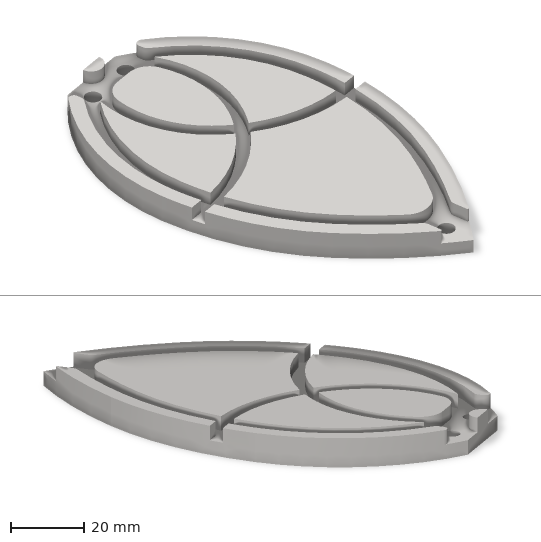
import cadquery as cq
import math

length = 129.3
thickness = 8.4
floor_height = thickness / 2
relief_height = thickness - floor_height

half_width = 38.3
apex_x = 51.7
blunt_arc_radius = 62.7
middle_arc_radius = 91.2
shoulder_x = 99.6

rim_width = 4.3
channel_width = 4.1
panel_inset = 2 * rim_width

tight_center_x = 24.0
tight_center_y = 22.2
tight_radius = 34.8
flat_center_x = 16.8
flat_center_y = 32.0
flat_radius = tight_radius + math.hypot(tight_center_x - flat_center_x, tight_center_y - flat_center_y)
vein_gap_x = 63.5
rim_gap_width = 4.0

blunt_opening_half_width = 14.4
tip_opening_half_width = 6.0
rim_end_radius = 2.6
blunt_end_tip_radius = 1.5
tip_end_tip_radius = 0.4

nose_radius = 7.8
heart_back_x = 10.9
heart_radius = 7.0

hole_diameter = 5.0
blunt_hole_x = 6.2
blunt_hole_y = 7.6
tip_hole_x = 120.2
boss_radius = 3.8


def circle_height(x, center_x, center_y, radius):
    """Y of the upper half of a circle at the given X."""
    return center_y + math.sqrt(radius**2 - (x - center_x) ** 2)


def leaf(inset, base, height):
    """Solid leaf whose curved sides are moved inwards by the inset."""
    blunt_center_y = half_width - blunt_arc_radius
    middle_center_y = half_width - middle_arc_radius
    normal_x = (shoulder_x - apex_x) / middle_arc_radius
    normal_y = math.sqrt(1 - normal_x**2)
    shoulder_y = middle_center_y + middle_arc_radius * normal_y
    to_tip_x = length - shoulder_x
    to_tip_y = -shoulder_y
    tip_arc_radius = -(to_tip_x**2 + to_tip_y**2) / (2 * (normal_x * to_tip_x + normal_y * to_tip_y))
    tip_center_x = shoulder_x - tip_arc_radius * normal_x
    tip_center_y = shoulder_y - tip_arc_radius * normal_y

    blunt_radius = blunt_arc_radius - inset
    tip_radius = tip_arc_radius - inset
    start = (inset, circle_height(inset, apex_x, blunt_center_y, blunt_radius))
    apex = (apex_x, half_width - inset)
    shoulder = (shoulder_x - inset * normal_x, shoulder_y - inset * normal_y)
    tip = (tip_center_x + math.sqrt(tip_radius**2 - tip_center_y**2), 0)

    blunt_mid_x = (start[0] + apex_x) / 2
    middle_mid_x = (apex_x + shoulder[0]) / 2
    tip_mid_x = (shoulder[0] + tip[0]) / 2
    blunt_mid = (blunt_mid_x, circle_height(blunt_mid_x, apex_x, blunt_center_y, blunt_radius))
    middle_mid = (
        middle_mid_x,
        circle_height(middle_mid_x, apex_x, middle_center_y, middle_arc_radius - inset),
    )
    tip_mid = (tip_mid_x, circle_height(tip_mid_x, tip_center_x, tip_center_y, tip_radius))

    def mirrored(point):
        return (point[0], -point[1])

    return (
        cq.Workplane("XY").workplane(offset=base)
        .moveTo(*mirrored(start))
        .lineTo(*start)
        .threePointArc(blunt_mid, apex)
        .threePointArc(middle_mid, shoulder)
        .threePointArc(tip_mid, tip)
        .threePointArc(mirrored(tip_mid), mirrored(shoulder))
        .threePointArc(mirrored(middle_mid), mirrored(apex))
        .threePointArc(mirrored(blunt_mid), mirrored(start))
        .close()
        .extrude(height)
    )


def relief_box(x_start, x_end, half_span):
    """Block of the relief layer, centred on Y = 0."""
    return (
        cq.Workplane("XY").workplane(offset=floor_height)
        .moveTo((x_start + x_end) / 2, 0)
        .rect(x_end - x_start, 2 * half_span)
        .extrude(relief_height)
    )


def vein_region(offset):
    """Relief layer on the lower, concave side of one vein, its edge moved outwards by the offset."""
    tight = tight_radius + offset
    flat = flat_radius + offset
    center_step = flat_radius - tight_radius
    join_x = flat_center_x + flat * (tight_center_x - flat_center_x) / center_step
    join_y = -flat_center_y + flat * (flat_center_y - tight_center_y) / center_step
    left_x = tight_center_x - tight
    right_x = flat_center_x + flat
    flat_mid_x = (join_x + right_x) / 2
    flat_mid_y = circle_height(flat_mid_x, flat_center_x, -flat_center_y, flat)
    return (
        cq.Workplane("XY").workplane(offset=floor_height)
        .moveTo(left_x, -tight_center_y)
        .threePointArc((tight_center_x, tight - tight_center_y), (join_x, join_y))
        .threePointArc((flat_mid_x, flat_mid_y), (right_x, -flat_center_y))
        .lineTo(right_x, -half_width)
        .lineTo(left_x, -half_width)
        .close()
        .extrude(relief_height)
    )


def edges_between(x_start, x_end):
    """Selector for relief edges centred in a span of X."""
    return cq.selectors.BoxSelector((x_start, -length, floor_height), (x_end, length, thickness))


def make_rim():
    rim = leaf(0, floor_height, relief_height).cut(leaf(rim_width, floor_height, relief_height))
    rim = rim.cut(relief_box(0, apex_x, blunt_opening_half_width))
    rim = rim.cut(relief_box(apex_x, length, tip_opening_half_width))
    rim = rim.edges("|Z").edges(edges_between(blunt_hole_x, apex_x / 2)).fillet(rim_end_radius)
    rim = rim.edges("|Z").edges("<X").fillet(blunt_end_tip_radius)
    rim = rim.edges("|Z").edges(edges_between(shoulder_x + rim_width, tip_hole_x)).fillet(rim_end_radius)
    rim = rim.edges("|Z").edges(">X").fillet(tip_end_tip_radius)
    gap_start = vein_gap_x - rim_gap_width / 2
    return rim.cut(relief_box(gap_start, gap_start + rim_gap_width, length))


def make_panels():
    field = leaf(panel_inset, floor_height, relief_height)
    wide_below = vein_region(channel_width / 2)
    wide_above = wide_below.mirror("XZ")
    narrow_below = vein_region(-channel_width / 2)
    narrow_above = narrow_below.mirror("XZ")

    nose = field.cut(wide_below).cut(wide_above)
    nose = nose.intersect(relief_box(apex_x, length, half_width))
    nose = nose.edges("|Z and >X").fillet(nose_radius)

    upper = field.intersect(narrow_above).cut(wide_below)
    lower = upper.mirror("XZ")

    heart = narrow_below.intersect(narrow_above)
    heart = heart.intersect(relief_box(heart_back_x, length, half_width))
    heart = heart.edges("|Z and <X").fillet(heart_radius)
    return [nose, upper, lower, heart]


plate = leaf(0, 0, floor_height)
boss = (
    cq.Workplane("XY").workplane(offset=floor_height)
    .circle(boss_radius)
    .extrude(relief_height)
    .intersect(relief_box(0, boss_radius, boss_radius))
)

result = plate.union(make_rim()).union(boss)
for panel in make_panels():
    result = result.union(panel)

hole_places = [(blunt_hole_x, blunt_hole_y), (blunt_hole_x, -blunt_hole_y), (tip_hole_x, 0)]
holes = cq.Workplane("XY").pushPoints(hole_places).circle(hole_diameter / 2).extrude(thickness)
result = result.cut(holes)